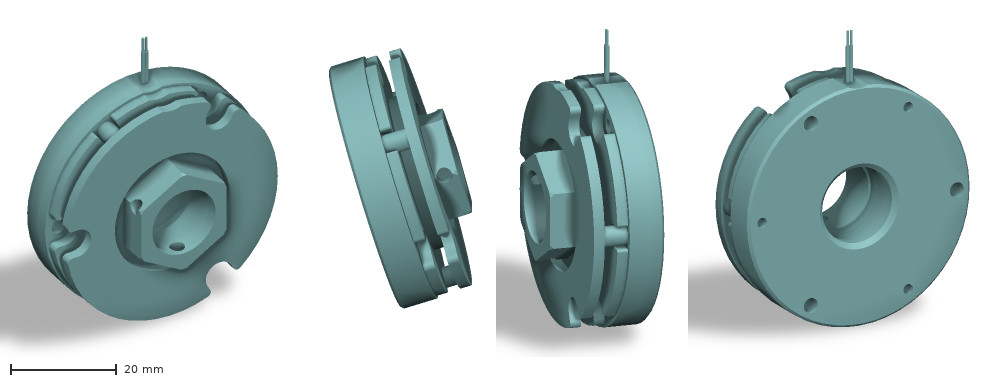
import cadquery as cq
import math


housing_radius = 24.0
housing_length = 7.0
housing_chamfer = 0.5
housing_bore_diameter = 15.0
bore_chamfer = 1.0

air_gap = 0.1
plate_radius = 23.45
armature_thickness = 2.15
friction_thickness = 2.55
flange_thickness = 2.15
armature_bore_diameter = housing_bore_diameter
flange_bore_diameter = 25.4

friction_diameter = 30.0
hub_bore_diameter = 14.0
hub_across_flats = 18.9
hub_side_count = 6
hub_turn = 30
hub_end_x = 18.25
hub_chamfer_length = 0.85
hub_chamfer_drop = 0.35
set_screw_diameter = 3.0
set_screw_end_offset = 2.55

bolt_circle_radius = 20.95
mounting_hole_diameter = 3.0
fixing_hole_diameter = 2.0
sleeve_diameter = 4.0
access_slot_radius = 3.0
access_slot_fillet = 1.0
sleeve_slot_radius = 2.2
sleeve_slot_fillet = 0.5

notch_half_width = 2.1
notch_depth = 0.45

wire_diameter = 0.75
core_diameter = 0.5
wire_x = 4.0
sheath_top = 30.85
overall_height = 57.9
core_top = overall_height - housing_radius

sleeve_angles = (0, 120, 240)
mounting_angles = (60, 180, 300)
set_screw_angles = (150, 270)

armature_x = housing_length + air_gap
friction_x = armature_x + armature_thickness
flange_x = friction_x + friction_thickness


def disc(x, length, radius):
    """Solid cylinder around the rotation axis."""
    return cq.Workplane("YZ", origin=(x, 0, 0)).circle(radius).extrude(length)


def rod(x, length, diameter, angle):
    """Cylinder parallel to X on the bolt circle."""
    y = bolt_circle_radius * math.cos(math.radians(angle))
    z = bolt_circle_radius * math.sin(math.radians(angle))
    return cq.Workplane("YZ", origin=(x, y, z)).circle(diameter / 2).extrude(length)


def cable_notch(x, length, radius):
    """Shallow round-bottomed cut at the top of a disc of the given radius."""
    edge_z = math.sqrt(radius**2 - notch_half_width**2)
    above = radius + notch_depth
    return (
        cq.Workplane("YZ", origin=(x, 0, 0))
        .moveTo(-notch_half_width, edge_z)
        .threePointArc((0, radius - notch_depth), (notch_half_width, edge_z))
        .lineTo(notch_half_width, above)
        .lineTo(-notch_half_width, above)
        .close()
        .extrude(length)
    )


def rim_slot(x, length, radius, fillet, angle):
    """U-shaped slot around a bolt-circle point, open at the plate rim through rounded lips."""
    lip_z = radius + fillet
    lip_y = math.sqrt((plate_radius - fillet) ** 2 - lip_z**2)
    rim_scale = plate_radius / (plate_radius - fillet)
    rim_y = lip_y * rim_scale
    rim_z = lip_z * rim_scale
    middle_angle = (math.atan2(lip_z, lip_y) - math.pi / 2) / 2
    middle_y = lip_y + fillet * math.cos(middle_angle)
    middle_z = lip_z + fillet * math.sin(middle_angle)
    outside = plate_radius + radius
    slot = (
        cq.Workplane("YZ", origin=(x, 0, 0))
        .moveTo(bolt_circle_radius, radius)
        .lineTo(lip_y, radius)
        .threePointArc((middle_y, middle_z), (rim_y, rim_z))
        .lineTo(outside, rim_z)
        .lineTo(outside, -rim_z)
        .lineTo(rim_y, -rim_z)
        .threePointArc((middle_y, -middle_z), (lip_y, -radius))
        .lineTo(bolt_circle_radius, -radius)
        .threePointArc((bolt_circle_radius - radius, 0), (bolt_circle_radius, radius))
        .close()
        .extrude(length)
    )
    return slot.rotate((0, 0, 0), (1, 0, 0), angle)


def make_housing():
    """Magnet housing with chamfered rim and bore, bolt-circle holes and the cable notch."""
    bore_radius = housing_bore_diameter / 2
    housing = disc(0, housing_length, housing_radius).faces("<X").chamfer(housing_chamfer)
    housing = housing.cut(disc(0, housing_length, bore_radius))
    bore_cone = cq.Solid.makeCone(
        bore_radius + bore_chamfer, bore_radius, bore_chamfer, cq.Vector(0, 0, 0), cq.Vector(1, 0, 0)
    )
    housing = housing.cut(cq.Workplane(bore_cone))
    for angle in mounting_angles:
        housing = housing.cut(rod(0, housing_length, mounting_hole_diameter, angle))
    for angle in sleeve_angles:
        housing = housing.cut(rod(0, housing_length, fixing_hole_diameter, angle))
    return housing.cut(cable_notch(0, housing_length, housing_radius))


def slotted_plate(x, thickness, bore_diameter):
    """Ring plate with the cable notch and one access slot at each mounting hole."""
    plate = disc(x, thickness, plate_radius).cut(disc(x, thickness, bore_diameter / 2))
    plate = plate.cut(cable_notch(x, thickness, plate_radius))
    for angle in mounting_angles:
        plate = plate.cut(rim_slot(x, thickness, access_slot_radius, access_slot_fillet, angle))
    return plate


def make_armature():
    """Plate that slides along the sleeves in slots open at its rim."""
    armature = slotted_plate(armature_x, armature_thickness, armature_bore_diameter)
    for angle in sleeve_angles:
        armature = armature.cut(
            rim_slot(armature_x, armature_thickness, sleeve_slot_radius, sleeve_slot_fillet, angle)
        )
    return armature


def make_flange():
    """Outer plate, bored wide enough for the hub to pass through."""
    return slotted_plate(flange_x, flange_thickness, flange_bore_diameter)


def make_rotor():
    """Friction disc with its hexagonal hub, corners of the hexagon pointing to +Z and -Z."""
    corner_radius = hub_across_flats / 2 / math.cos(math.pi / hub_side_count)
    hub_length = hub_end_x - friction_x
    hub = (
        cq.Workplane("YZ", origin=(friction_x, 0, 0))
        .polygon(hub_side_count, 2 * corner_radius)
        .extrude(hub_length)
        .rotate((0, 0, 0), (1, 0, 0), hub_turn)
    )
    envelope = (
        disc(friction_x, hub_length, corner_radius)
        .faces(">X")
        .edges()
        .chamfer(hub_chamfer_length, hub_chamfer_drop)
    )
    rotor = hub.intersect(envelope).union(disc(friction_x, friction_thickness, friction_diameter / 2))
    rotor = rotor.cut(disc(friction_x, hub_length, hub_bore_diameter / 2))
    for angle in set_screw_angles:
        hole = (
            cq.Workplane("XY", origin=(hub_end_x - set_screw_end_offset, 0, 0))
            .circle(set_screw_diameter / 2)
            .extrude(2 * corner_radius)
            .rotate((0, 0, 0), (1, 0, 0), angle - 90)
        )
        rotor = rotor.cut(hole)
    return rotor


def make_sleeve(angle):
    """Spacer between the housing and the flange plate."""
    return rod(housing_length, flange_x - housing_length, sleeve_diameter, angle)


def make_wire(side, housing):
    """Insulated wire with its bare core standing out at the top, on side -1 or +1 of y = 0."""
    start_z = housing_radius - 2 * notch_depth
    base = cq.Workplane("XY", origin=(wire_x, side * wire_diameter / 2, start_z))
    sheath = base.circle(wire_diameter / 2).extrude(sheath_top - start_z)
    core = base.circle(core_diameter / 2).extrude(core_top - start_z)
    return sheath.union(core).cut(housing)


housing = make_housing()
armature = make_armature()
rotor = make_rotor()
flange = make_flange()
sleeves = [make_sleeve(angle) for angle in sleeve_angles]
wires = [make_wire(side, housing) for side in (-1, 1)]

bodies = [housing, armature, rotor, flange, *sleeves, *wires]
result = cq.Compound.makeCompound([body.val() for body in bodies])